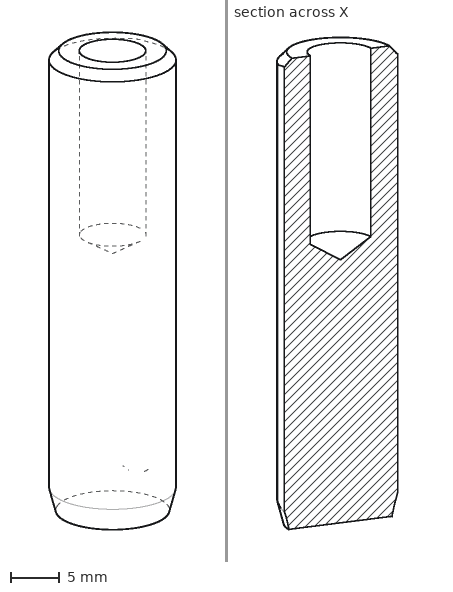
import cadquery as cq
import math

length = 50.0
radius = 6.5

top_chamfer = 1.0
lead_in_height = 2.5
lead_in_angle = 15.0
lead_in_inset = lead_in_height * math.tan(math.radians(lead_in_angle))

hole_radius = 3.4
hole_depth = 20.0
drill_point_angle = 118.0
drill_point_height = hole_radius / math.tan(math.radians(drill_point_angle / 2))

flat_distance = 6.35


def make_body():
    """Revolve the pin: tapered bottom end, straight shank, chamfered top end."""
    profile = (
        cq.Workplane("XZ")
        .moveTo(0, 0)
        .lineTo(radius - lead_in_inset, 0)
        .lineTo(radius, lead_in_height)
        .lineTo(radius, length - top_chamfer)
        .lineTo(radius - top_chamfer, length)
        .lineTo(0, length)
        .close()
    )
    return profile.revolve(360, (0, 0, 0), (0, 1, 0))


def make_hole():
    """Revolve the hole: straight bore ending in a conical drill point."""
    floor = length - hole_depth
    profile = (
        cq.Workplane("XZ")
        .moveTo(0, length)
        .lineTo(hole_radius, length)
        .lineTo(hole_radius, floor)
        .lineTo(0, floor - drill_point_height)
        .close()
    )
    return profile.revolve(360, (0, 0, 0), (0, 1, 0))


def make_flat_cutter():
    """Block covering everything beyond the flat over the full length."""
    return cq.Workplane("XY").box(
        2 * radius, radius, length, centered=(True, False, False)
    ).translate((0, flat_distance, 0))


result = make_body().cut(make_hole()).cut(make_flat_cutter())